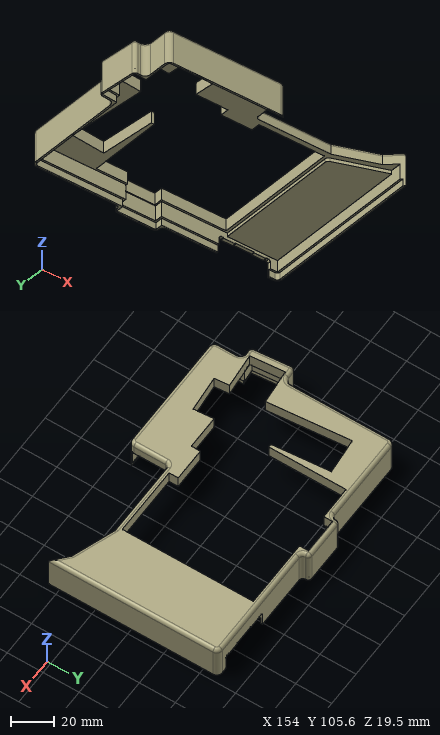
import cadquery as cq
import math

length = 154.0
depth = 105.6
height = 19.5

plate = 7.0
wall = 2.0
lip_wall = wall / 2
lip_height = 4.0
lip_round = 1.7
edge_round = 2.0
body_round = 3.1
tab_round = 2.0
plate_z = height - plate

back_y = 101.3
front_block_x = 69.3
rail_y = 22.3
rail_round = 1.7
slope_start_x = 113.5
slope_end = (136.9, 13.9)
tip_y = 6.6

back_tab_left = 51.7
back_tab_right = 76.7
back_tab_root_round = 2.2

tilt = 5.0
slot_corner = (11.1, 85.2)
slot_width = 19.9
slot_length = 72.8
arm_reach = 19.1
arm_start = 45.9
arm_width = 18.8
tab_end_rim = 5.0
tab_side_rim = 2.5

opening_left = 35.5
opening_right = 112.0
rim = 3.1
opening_front = rail_y + rim
opening_back = back_y - rim
back_tab_opening = (54.0, 73.9)
back_tab_rim = 2.5
step_left = 55.1
step_right = 73.5
step_back = 30.5
finger_end_y = 55.1

notch_left = 108.9
notch_right = 138.9
notch_top = 9.1
notch_corner = 1.0
key_width = 7.1
key_inset = 2.5
key_drop = 0.5

pad_drop = 2.0
pad_round = 2.0


def tilted(across, down):
    """Point measured from the slot corner along the tilted directions."""
    c = math.cos(math.radians(tilt))
    s = math.sin(math.radians(tilt))
    return slot_corner[0] + across * c + down * s, slot_corner[1] + across * s - down * c


def rounded_outline(corners):
    """Closed outline through (x, y, radius) corners; radius 0 keeps the corner sharp."""
    path = None
    for i, (x, y, radius) in enumerate(corners):
        previous = corners[i - 1]
        following = corners[(i + 1) % len(corners)]
        corner = cq.Vector(x, y)
        back = (cq.Vector(previous[0], previous[1]) - corner).normalized()
        ahead = (cq.Vector(following[0], following[1]) - corner).normalized()
        half_angle = back.getAngle(ahead) / 2
        tangent = radius / math.tan(half_angle)
        start = corner + back * tangent
        if path is None:
            path = cq.Workplane("XY").moveTo(start.x, start.y)
        else:
            path = path.lineTo(start.x, start.y)
        if radius:
            bisector = (back + ahead).normalized()
            middle = corner + bisector * (radius / math.sin(half_angle) - radius)
            end = corner + ahead * tangent
            path = path.threePointArc((middle.x, middle.y), (end.x, end.y))
    return path.close()


def box(x0, x1, y0, y1, z0, z1):
    """Block between two limits along each axis."""
    return cq.Workplane("XY").box(x1 - x0, y1 - y0, z1 - z0, centered=False).translate((x0, y0, z0))


tab_end = -arm_reach - tab_end_rim
tab_back = arm_start - tab_side_rim
tab_front = arm_start + arm_width + tab_side_rim
slope_of_tilt = math.tan(math.radians(tilt))

tab_back_left = tilted(tab_end, tab_back)
tab_front_left = tilted(tab_end, tab_front)
tab_back_root_y = tab_back_left[1] - tab_back_left[0] * slope_of_tilt
tab_front_root_y = tab_front_left[1] - tab_front_left[0] * slope_of_tilt

leftmost = tilted(tab_end + tab_round, tab_back + tab_round)[0] - tab_round
right_x = leftmost + length

corners = [
    (0, 0, body_round),
    (front_block_x, 0, body_round),
    (front_block_x, rail_y, rail_round),
    (slope_start_x, rail_y, 0),
    (*slope_end, 0),
    (right_x, tip_y, 0),
    (right_x, back_y, body_round),
    (back_tab_right, back_y, back_tab_root_round),
    (back_tab_right, depth, tab_round),
    (back_tab_left, depth, tab_round),
    (back_tab_left, back_y, back_tab_root_round),
    (0, back_y, body_round),
    (0, tab_back_root_y, body_round),
    (*tab_back_left, tab_round),
    (*tab_front_left, tab_round),
    (0, tab_front_root_y, body_round),
]
body = rounded_outline(corners).extrude(height).faces(">Z").edges().fillet(edge_round)


def cavity(thickness, top, main_corner_round):
    """Hollow behind a wall, left open along the front block's right side and the rail.

    Only the main corners of the hollow are rounded; the others are sharp.
    """
    main_corners = [(0, 0), (right_x, back_y), (0, back_y)]
    outer_round = main_corner_round + thickness if main_corner_round else 0
    outline = rounded_outline([
        (x, y, outer_round if (x, y) in main_corners else 0)
        for x, y, _ in corners
    ])
    hollow = outline.offset2D(-thickness, "intersection").extrude(top)
    open_side = box(front_block_x / 2, right_x - thickness, thickness, opening_front, 0, top)
    return hollow.union(open_side)


body = body.cut(cavity(wall, plate_z, 0))
body = body.cut(cavity(lip_wall, lip_height, lip_round))

slope = (slope_end[1] - rail_y) / (slope_end[0] - slope_start_x)
pad_right = right_x - wall
pad = rounded_outline([
    (slope_start_x, opening_front, pad_round),
    (pad_right, opening_front + slope * (pad_right - slope_start_x), 0),
    (pad_right, back_y - wall, 0),
    (slope_start_x, back_y - wall, 0),
]).extrude(pad_drop).translate((0, 0, plate_z - pad_drop))
body = body.union(pad)

slot = cq.Workplane("XY").polyline([
    tilted(0, 0),
    tilted(slot_width, 0),
    tilted(slot_width, slot_length),
    tilted(0, slot_length),
    tilted(0, arm_start + arm_width),
    tilted(-arm_reach, arm_start + arm_width),
    tilted(-arm_reach, arm_start),
    tilted(0, arm_start),
]).close().extrude(height)

opening = box(opening_left, opening_right, opening_front, opening_back, 0, height)
tab_opening = box(*back_tab_opening, opening_front, depth - back_tab_rim, 0, height)
step = box(step_left, step_right, opening_front, step_back, 0, height)
passage = box(slot_corner[0] + slot_width, opening_left, opening_front, finger_end_y, 0, height)

body = body.cut(opening.union(tab_opening).cut(step)).cut(slot).cut(passage)

notch = box(notch_left, notch_right, opening_back, depth, 0, notch_top)
notch = notch.faces(">Z").edges("|Y").chamfer(notch_corner)
for key_left in (notch_left + key_inset, notch_right - key_inset - key_width):
    notch = notch.cut(box(key_left, key_left + key_width, opening_back, depth, notch_top - key_drop, notch_top))
result = body.cut(notch)